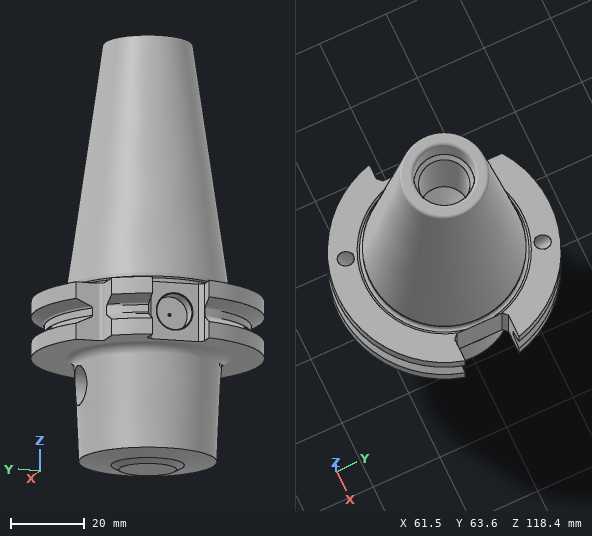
import cadquery as cq
import math


gauge_radius = 22.3
taper_length = 68.4
taper_ratio = 7 / 48
tip_round = 1.0
gauge_land = 1.0
relief_radius = 22.0
relief_bevel = 0.5
tip_radius = gauge_radius - taper_length * taper_ratio

flange_diameter = 63.6
flange_radius = flange_diameter / 2
flange_top = -3.2
flange_height = 16.0
flange_bottom = flange_top - flange_height
recess_radius = 23.7
recess_floor_radius = 23.1
recess_depth = 0.4
recess_round = 0.7

groove_floor_radius = 28.2
groove_middle = flange_top - 8.0
groove_floor_width = 2.7
groove_slope = math.radians(30)
groove_half_floor = groove_floor_width / 2
groove_half_mouth = groove_half_floor + (flange_radius - groove_floor_radius) * math.tan(groove_slope)
groove_round = 0.6

overall_height = 118.4
bottom = taper_length - overall_height
nose_top_radius = 20.0
nose_end_radius = 18.8
nose_round = 2.8
nose_end = bottom + 2.1
tip_cone_radius = 10.0
tip_cone_level = bottom + 1.2
bottom_face_radius = 7.8

bore_radius = 8.3
bore_depth = 7.9
bore_mouth_round = 1.1
thread_radius = 7.0
thread_end_depth = 34.3
drill_half_angle = math.radians(59)

slot_width = 16.1
slot_corner_chamfer = 1.3
left_slot_floor = 25.0
right_slot_floor = 22.7
notch_x = -18.4
notch_y = 18.2
notch_corner_radius = 1.4
chip_hole_diameter = 10.0
chip_hole_depth = 4.6
chip_hole_chamfer = 0.2
center_mark_diameter = 0.7
center_mark_depth = 0.6

coolant_diameter = 4.0
coolant_pitch_radius = 26.9
coolant_angle = 70.0
coolant_tilt = 30.0
coolant_length = 14.2

screw_hole_diameter = 10.9
screw_hole_level = flange_bottom - 8.6
screw_hole_depth = 7.1


def make_body():
    """Turned outer shape: taper, flange and nose."""
    recess_floor = flange_top - recess_depth
    bevel_bottom = -gauge_land - relief_bevel
    profile = (
        cq.Workplane("XZ")
        .moveTo(0, bottom)
        .lineTo(bottom_face_radius, bottom)
        .lineTo(tip_cone_radius, tip_cone_level)
        .lineTo(nose_end_radius, nose_end)
        .lineTo(nose_top_radius, flange_bottom - nose_round)
        .radiusArc((nose_top_radius + nose_round, flange_bottom), nose_round)
        .lineTo(flange_radius, flange_bottom)
        .lineTo(flange_radius, flange_top)
        .lineTo(recess_radius, flange_top)
        .lineTo(recess_floor_radius, recess_floor)
        .lineTo(relief_radius + recess_round, recess_floor)
        .radiusArc((relief_radius, recess_floor + recess_round), recess_round)
        .lineTo(relief_radius, bevel_bottom)
        .lineTo(gauge_radius, -gauge_land)
        .lineTo(gauge_radius, 0)
        .lineTo(tip_radius, taper_length)
        .lineTo(0, taper_length)
        .close()
    )
    return profile.revolve(360, (0, 0, 0), (0, 1, 0)).faces(">Z").edges().fillet(tip_round)


def make_groove():
    """Ring that cuts the V-groove, with rounded floor corners."""
    ring = (
        cq.Workplane("XZ")
        .moveTo(groove_floor_radius, groove_middle - groove_half_floor)
        .lineTo(flange_radius, groove_middle - groove_half_mouth)
        .lineTo(flange_radius, groove_middle + groove_half_mouth)
        .lineTo(groove_floor_radius, groove_middle + groove_half_floor)
        .close()
        .revolve(360, (0, 0, 0), (0, 1, 0))
    )
    floor_corners = cq.selectors.RadiusNthSelector(0)
    return ring.edges("%CIRCLE").edges(floor_corners).fillet(groove_round)


def make_bore():
    """Draw-bar bore with a rounded mouth, a conical step and a drill-point end."""
    step = taper_length - bore_depth
    step_drop = (bore_radius - thread_radius) / math.tan(drill_half_angle)
    thread_end = taper_length - thread_end_depth
    drill_point = thread_end - thread_radius / math.tan(drill_half_angle)
    return (
        cq.Workplane("XZ")
        .moveTo(0, taper_length)
        .lineTo(bore_radius + bore_mouth_round, taper_length)
        .radiusArc((bore_radius, taper_length - bore_mouth_round), -bore_mouth_round)
        .lineTo(bore_radius, step)
        .lineTo(thread_radius, step - step_drop)
        .lineTo(thread_radius, thread_end)
        .lineTo(0, drill_point)
        .close()
        .revolve(360, (0, 0, 0), (0, 1, 0))
    )


def flange_block(x_start, x_end, y_start, y_end):
    """Block over the full flange height, used for cuts in its rim."""
    return (
        cq.Workplane("XY", origin=(0, 0, flange_bottom))
        .moveTo(x_start, y_start)
        .lineTo(x_end, y_start)
        .lineTo(x_end, y_end)
        .lineTo(x_start, y_end)
        .close()
        .extrude(flange_height)
    )


def make_slot(side, floor):
    """Driving slot on the -X (side = -1) or +X (side = 1) rim."""
    block = flange_block(side * floor, side * flange_radius, -slot_width / 2, slot_width / 2)
    inner_face = ">X" if side < 0 else "<X"
    return block.faces(inner_face).edges("|Z").chamfer(slot_corner_chamfer)


def make_notch():
    """Orientation notch in the -X +Y quarter of the rim."""
    block = flange_block(notch_x, -flange_radius, notch_y, flange_radius)
    return block.edges("|Z").edges(">X and <Y").fillet(notch_corner_radius)


def make_chip_hole():
    """Data-chip pocket in the floor of the -X slot, with a chamfered mouth and a center mark."""
    floor = cq.Workplane("YZ", origin=(-left_slot_floor, 0, flange_top - flange_height / 2))
    pocket = floor.circle(chip_hole_diameter / 2).extrude(chip_hole_depth)
    mark = floor.circle(center_mark_diameter / 2).extrude(chip_hole_depth + center_mark_depth)
    mouth = floor.circle(chip_hole_diameter / 2 + chip_hole_chamfer).extrude(chip_hole_chamfer, taper=45)
    return pocket.union(mark).union(mouth)


def make_coolant_hole(angle):
    """Hole from the flange's top face that leans toward the axis."""
    tilt = math.radians(coolant_tilt)
    inward = cq.Vector(-math.sin(tilt), 0, -math.cos(tilt))
    entry = cq.Vector(coolant_pitch_radius, 0, flange_top)
    start = entry - inward * coolant_diameter
    hole = cq.Solid.makeCylinder(coolant_diameter / 2, coolant_length + coolant_diameter, start, inward)
    return cq.Workplane(hole).rotate((0, 0, 0), (0, 0, 1), angle)


def make_screw_hole():
    """Blind radial hole in the +Y side of the nose."""
    depth_end = nose_top_radius - screw_hole_depth
    return (
        cq.Workplane("XZ", origin=(0, depth_end, screw_hole_level))
        .circle(screw_hole_diameter / 2)
        .extrude(-2 * screw_hole_depth)
    )


result = make_body().cut(make_groove()).cut(make_bore())
result = result.cut(make_slot(-1, left_slot_floor)).cut(make_slot(1, right_slot_floor))
result = result.cut(make_notch()).cut(make_chip_hole())
for hole_angle in (coolant_angle, coolant_angle + 180):
    result = result.cut(make_coolant_hole(hole_angle))
result = result.cut(make_screw_hole())